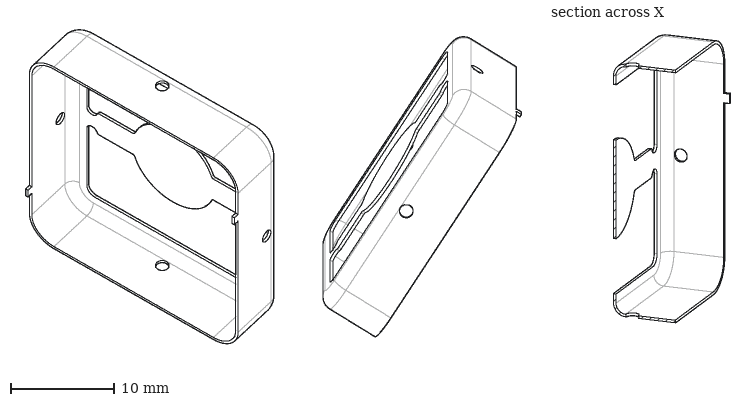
import cadquery as cq

side = 25.7
shell_depth = 6.5
wall = 0.3
corner_radius = 3.03
floor_edge_radius = 1.3

rim_width = 2.24
window_side = side - 2 * rim_width
window_corner_radius = 1.0
disc_radius = 5.0
strap_height = 2.98
strap_edge_radius = 0.3
notch_radius = 0.65

wall_hole_diameter = 1.3
wall_hole_from_floor = 2.0

tab_length = 0.6
tab_height = 0.98
tab_offset = 6.35


def rounded_block(width, depth, corner, edge):
    """Square block from Y = 0 to Y = depth with its +Y edge rounded."""
    block = cq.Workplane("XZ").rect(width, width).extrude(-depth)
    return block.edges("|Y").fillet(corner).faces(">Y").edges().fillet(edge)


def floor_prism(sketch):
    """Extrude a closed outline through the full floor thickness."""
    return sketch.extrude(-wall)


def make_shell():
    outer = rounded_block(side, shell_depth, corner_radius, floor_edge_radius)
    inner = rounded_block(
        side - 2 * wall, shell_depth - wall, corner_radius - wall, floor_edge_radius - wall
    )
    return outer.cut(inner)


def make_window():
    """Solid filling the openings left around the strap and disc."""
    plane = cq.Workplane("XZ", origin=(0, shell_depth - wall, 0))
    window = floor_prism(plane.rect(window_side, window_side))
    window = window.edges("|Y").fillet(window_corner_radius)
    strap = floor_prism(plane.rect(window_side, strap_height))
    disc = floor_prism(plane.circle(disc_radius))
    notch_x = window_side / 2 - notch_radius
    notch_z = strap_height / 2
    notch_centers = [(x, z) for x in (-notch_x, notch_x) for z in (-notch_z, notch_z)]
    notches = floor_prism(plane.pushPoints(notch_centers).circle(notch_radius))
    openings = window.cut(strap).cut(disc).union(notches)

    reach = notch_x - notch_radius / 2
    strap_zone = cq.selectors.BoxSelector(
        (-reach, 0, -notch_z - strap_edge_radius),
        (reach, 2 * shell_depth, notch_z + strap_edge_radius),
    )
    return openings.edges("|Y").edges(strap_zone).fillet(strap_edge_radius)


def drill_walls(body):
    hole_y = shell_depth - wall_hole_from_floor
    radius = wall_hole_diameter / 2
    for axis in (cq.Vector(1, 0, 0), cq.Vector(0, 0, 1)):
        start = cq.Vector(0, hole_y, 0) - axis * side
        body = body.cut(cq.Workplane(cq.Solid.makeCylinder(radius, 2 * side, start, axis)))
    return body


def add_tabs(body):
    tab_x = (side - wall) / 2
    root = wall
    for x, z in ((-tab_x, -tab_offset), (tab_x, tab_offset)):
        tab = cq.Workplane("XY").box(wall, tab_length + root, tab_height)
        body = body.union(tab.translate((x, (root - tab_length) / 2, z)))
    return body


result = add_tabs(drill_walls(make_shell().cut(make_window())))